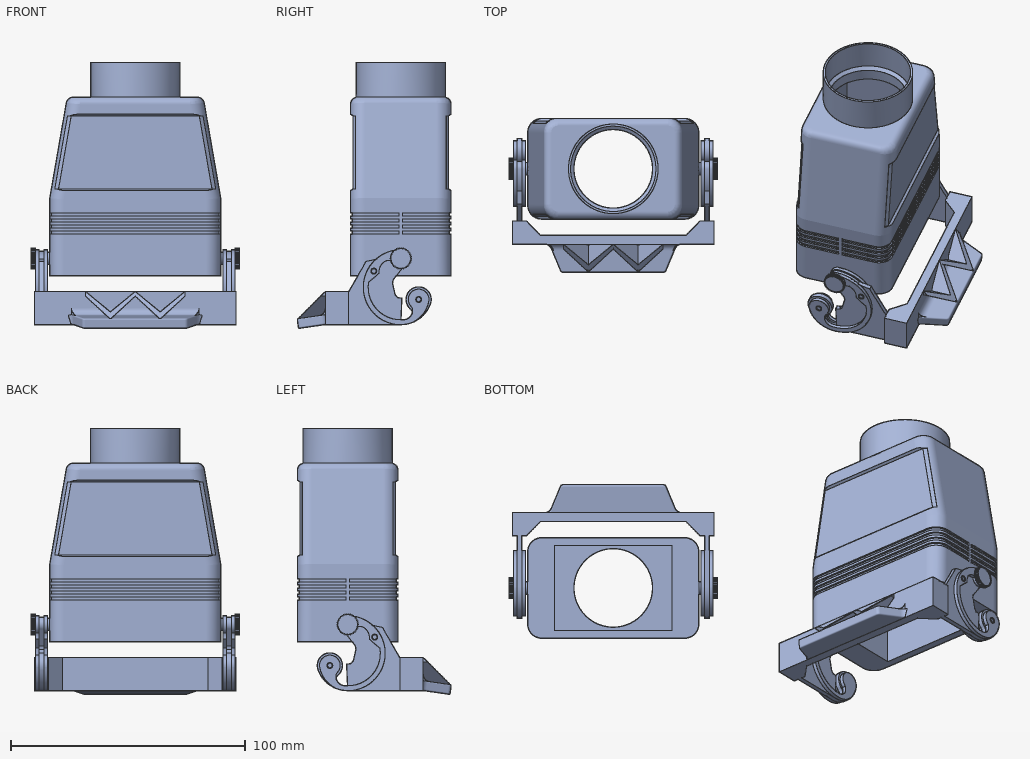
import cadquery as cq
import math

hood_half_x = 36.5
hood_half_y = 21.5
hood_height = 76.2
straight_height = 33.0
top_half_x = 29.0
corner_radius = 6.1
top_edge_radius = 3.2

collar_radius = 19.1
collar_top = 90.95
overall_height = 113.37
collar_bore_radius = 18.2
throat_radius = 16.7
collar_bore_depth = 12.5
throat_chamfer = 1.2

cavity_half_x = 25.0
cavity_half_y = 18.1
cavity_top = 72.3

panel_depth = 1.1
panel_bottom = 36.3
panel_top = 68.9
panel_end_slope = 0.7
panel_rim_inset = 3.1
panel_rim_width = 1.6
panel_rim_depth = 1.1

groove_count = 4
groove_width = 1.4
groove_depth = 0.75
groove_pitch = 2.55
first_groove_z = 17.75
groove_gap = 1.6

lever_mid_x = 39.95
web_thickness = 2.0
arm_thickness = 5.2
flange_thickness = (arm_thickness - web_thickness) / 2
pivot_z = 7.4
ring_radius = 16.0
ring_z = -4.9
ring_inner_radius = 13.9
pivot_boss_radius = ring_radius - (pivot_z - ring_z)
hook_y = 7.6
hook_z = -10.1
web_hook_radius = 5.4
flange_hook_radius = 4.4
mouth_angle = math.radians(-130)
flange_nook_side = (4.3, -17.0)
flange_nook_end = (1.0, -18.7)
web_nook_side = (4.9, -17.4)
web_nook_end = (1.0, -19.5)
web_inset = 0.6
rivet_y = -11.5
rivet_z = 2.0
rivet_radius = 1.25
rivet_core_radius = 1.0
rivet_depth = 0.3

pin_radius = 2.7
button_radius = 4.55
button_face_x = 44.5
button_thickness = button_face_x - lever_mid_x - arm_thickness / 2
tooth_count = 38
tooth_depth = 0.4

bar_half_x = 43.0
bar_back_y = -22.2
bar_relief_y = -28.3
bar_front_y = -32.2
bar_top = -6.7
bar_bottom = ring_z - ring_radius
bar_relief_half_x = 31.0
bar_block_half_x = 37.0

tab_root_half_x = 27.2
tab_tip_half_x = 22.2
tab_reach_y = -44.14
tab_root_top = -16.6
tab_tilt = math.atan(0.145)
tab_lowest_z = collar_top - overall_height
tab_corner_radius = 1.5
tab_edge_radius = 0.6
tab_root_radius = 3.1
tab_rim_reach = bar_front_y - tab_reach_y - tab_edge_radius * (1 - math.sin(tab_tilt))
tab_length = tab_rim_reach / math.cos(tab_tilt) + tab_edge_radius
tab_rim_drop = tab_root_top - tab_lowest_z - tab_edge_radius - (tab_length - tab_edge_radius) * math.sin(tab_tilt)
tab_thickness = tab_rim_drop / math.cos(tab_tilt) + tab_edge_radius
tab_tip_y = bar_front_y - tab_length
tab_anchor = 1.0

rib_half_x = 21.2
rib_valley_z = -15.4
rib_wall_drop = 3.1
rib_end_drop = 2.0


def box(x0, x1, y0, y1, z0, z1):
    return cq.Workplane("XY").box(x1 - x0, y1 - y0, z1 - z0, centered=False).translate((x0, y0, z0))


def cylinder(radius, z0, z1):
    return cq.Workplane("XY").workplane(offset=z0).circle(radius).extrude(z1 - z0)


def plate(outline, mid_x, thickness):
    """Extrude a closed (Y, Z) outline symmetrically about the plane X = mid_x."""
    return outline.extrude(thickness / 2, both=True).translate((mid_x, 0, 0))


def disc_x(y, z, radius, x0, x1):
    return cq.Workplane("YZ").workplane(offset=x0).center(y, z).circle(radius).extrude(x1 - x0)


def side_wall_x(z):
    """Half width of the hood at a height on its leaning side walls."""
    lean = (hood_half_x - top_half_x) / (hood_height - straight_height)
    return hood_half_x - lean * (z - straight_height)


def hood_blank():
    side = [
        (-hood_half_x, 0),
        (hood_half_x, 0),
        (hood_half_x, straight_height),
        (top_half_x, hood_height),
        (-top_half_x, hood_height),
        (-hood_half_x, straight_height),
    ]
    body = cq.Workplane("XZ").polyline(side).close().extrude(hood_half_y, both=True)
    body = body.edges("(not #Z) and (not |Y)").fillet(corner_radius)
    return body.faces(">Z").edges().fillet(top_edge_radius)


def panel_cutter():
    """Band cut across the front face, with sloped ends at top and bottom."""
    floor_y = -hood_half_y + panel_depth
    section = [
        (floor_y, panel_bottom + panel_end_slope),
        (-hood_half_y, panel_bottom),
        (-hood_half_y - panel_depth, panel_bottom),
        (-hood_half_y - panel_depth, panel_top),
        (-hood_half_y, panel_top),
        (floor_y, panel_top - panel_end_slope),
    ]
    return cq.Workplane("YZ").polyline(section).close().extrude(hood_half_x, both=True)


def panel_rim_cutter():
    """Bevel along the +X slanted edge of the front panel."""
    floor_y = -hood_half_y + panel_depth

    def section(z):
        edge_x = side_wall_x(z) - panel_rim_inset
        return [
            (edge_x, floor_y, z),
            (edge_x + panel_rim_width, floor_y + panel_rim_depth, z),
            (edge_x + panel_rim_width, floor_y, z),
        ]

    wires = [
        cq.Wire.makePolygon([cq.Vector(*p) for p in section(z)], close=True)
        for z in (panel_bottom + panel_end_slope, panel_top - panel_end_slope)
    ]
    return cq.Workplane(obj=cq.Solid.makeLoft(wires, True))


def groove_cutter():
    outer = box(-hood_half_x - 1, hood_half_x + 1, -hood_half_y - 1, hood_half_y + 1, 0, groove_width)
    core = (
        cq.Workplane("XY")
        .rect(2 * (hood_half_x - groove_depth), 2 * (hood_half_y - groove_depth))
        .extrude(groove_width)
        .edges("|Z")
        .fillet(corner_radius - groove_depth)
    )
    bridge = box(-hood_half_x - 1, hood_half_x + 1, -groove_gap / 2, groove_gap / 2, 0, groove_width)
    return outer.cut(core).cut(bridge)


def make_hood():
    hood = hood_blank()
    panel = panel_cutter()
    rim = panel_rim_cutter()
    front = panel.union(rim).union(rim.mirror("YZ"))
    hood = hood.cut(front).cut(front.mirror("XZ"))
    groove = groove_cutter()
    for i in range(groove_count):
        hood = hood.cut(groove.translate((0, 0, first_groove_z + i * groove_pitch)))
    hood = hood.union(cylinder(collar_radius, hood_height - 1, collar_top))
    hood = hood.cut(box(-cavity_half_x, cavity_half_x, -cavity_half_y, cavity_half_y, 0, cavity_top))
    bore_floor = collar_top - collar_bore_depth
    bore = cylinder(collar_bore_radius, bore_floor, collar_top)
    cone = (
        cq.Workplane("XY").workplane(offset=bore_floor).circle(collar_bore_radius)
        .workplane(offset=-throat_chamfer).circle(throat_radius).loft()
    )
    return hood.cut(bore).cut(cone).cut(cylinder(throat_radius, cavity_top, bore_floor))


def hook_points(hook_radius):
    """Points on the arc blending the ring bottom into the hook end, then round to the mouth."""
    drop = hook_z - bar_bottom
    blend_radius = (hook_y**2 + drop**2 - hook_radius**2) / (2 * (drop - hook_radius))
    blend_z = bar_bottom + blend_radius
    touch = math.atan2(hook_z - blend_z, hook_y)
    middle = (touch - math.pi / 2) / 2

    def on_hook(angle):
        return (hook_y + hook_radius * math.cos(angle), hook_z + hook_radius * math.sin(angle))

    return {
        "blend": (blend_radius * math.cos(middle), blend_z + blend_radius * math.sin(middle)),
        "touch": on_hook(touch),
        "crown": on_hook(math.pi / 2),
        "mouth": on_hook(mouth_angle),
    }


def add_hook(outline, hook_radius, nook_side, nook_end):
    hook = hook_points(hook_radius)
    return (
        outline.threePointArc(hook["blend"], hook["touch"])
        .threePointArc(hook["crown"], hook["mouth"])
        .threePointArc(nook_side, nook_end)
    )


def pivot_point(angle, radius=pivot_boss_radius):
    a = math.radians(angle)
    return (radius * math.cos(a), pivot_z + radius * math.sin(a))


def ring_point(angle, radius=ring_radius):
    a = math.radians(angle)
    return (radius * math.cos(a), ring_z + radius * math.sin(a))


def arm_web(mid_x):
    boss_radius = pivot_boss_radius - web_inset
    arc_radius = ring_radius - web_inset
    outline = (
        cq.Workplane("YZ").moveTo(*pivot_point(90, boss_radius))
        .threePointArc(ring_point(110, arc_radius), ring_point(128, arc_radius))
        .lineTo(-14.9, 6.1)
        .lineTo(-15.6, 4.7)
        .lineTo(bar_back_y, bar_top)
        .lineTo(bar_back_y, bar_bottom)
        .lineTo(0, bar_bottom)
    )
    outline = (
        add_hook(outline, web_hook_radius, web_nook_side, web_nook_end)
        .lineTo(0.1, web_nook_end[1])
        .lineTo(0.5, -9.5)
        .lineTo(-1.2, -9.3)
        .threePointArc((-2.3, -8.2), (-2.6, -7.0))
        .lineTo(-3.5, -3.2)
        .lineTo(-3.2, -1.7)
        .lineTo(*pivot_point(-45, boss_radius))
        .threePointArc(pivot_point(20, boss_radius), pivot_point(90, boss_radius))
        .close()
    )
    return plate(outline, mid_x, web_thickness)


def arm_flanges(mid_x):
    """Matching rims on both sides of the web."""
    offset = (web_thickness + flange_thickness) / 2
    outline = (
        cq.Workplane("YZ").moveTo(*pivot_point(90))
        .threePointArc(ring_point(180), ring_point(270))
    )
    outline = (
        add_hook(outline, flange_hook_radius, flange_nook_side, flange_nook_end)
        .threePointArc(ring_point(220, ring_inner_radius), ring_point(171, ring_inner_radius))
        .threePointArc((-11.3, -0.7), (-9.2, 1.2))
        .threePointArc((-8.6, 4.3), (-6.2, 6.4))
        .lineTo(*pivot_point(195))
        .threePointArc(pivot_point(-45), pivot_point(90))
        .close()
    )
    flange = plate(outline, mid_x, flange_thickness)
    return flange.translate((-offset, 0, 0)), flange.translate((offset, 0, 0))


def knurled_button():
    points = []
    for i in range(2 * tooth_count):
        angle = math.pi * i / tooth_count
        radius = button_radius - tooth_depth * (i % 2)
        points.append((radius * math.cos(angle), pivot_z + radius * math.sin(angle)))
    start = button_face_x - button_thickness
    return cq.Workplane("YZ").workplane(offset=start).polyline(points).close().extrude(button_thickness)


def make_arm():
    """Arm on the +X side with its pivot pin and button."""
    face_x = lever_mid_x + arm_thickness / 2
    arm = arm_web(lever_mid_x)
    for flange in arm_flanges(lever_mid_x):
        arm = arm.union(flange)
    arm = arm.union(disc_x(0, pivot_z, pin_radius, hood_half_x - 1, face_x))
    arm = arm.union(knurled_button())
    for y, z in [(rivet_y, rivet_z), (hook_y, hook_z)]:
        gap = disc_x(y, z, rivet_radius, face_x - rivet_depth, face_x)
        core = disc_x(y, z, rivet_core_radius, face_x - rivet_depth, face_x)
        arm = arm.cut(gap.cut(core))
    return arm


def make_bar():
    outline = [
        (-bar_half_x, bar_front_y),
        (-bar_half_x, bar_back_y),
        (-bar_block_half_x, bar_back_y),
        (-bar_relief_half_x, bar_relief_y),
        (bar_relief_half_x, bar_relief_y),
        (bar_block_half_x, bar_back_y),
        (bar_half_x, bar_back_y),
        (bar_half_x, bar_front_y),
    ]
    return cq.Workplane("XY").workplane(offset=bar_bottom).polyline(outline).close().extrude(bar_top - bar_bottom)


def blend(corner, toward_start, toward_end, radius):
    """Start, middle and end of the arc that rounds a corner between two directions."""
    def unit(x, y):
        length = math.hypot(x, y)
        return (x / length, y / length)

    a = unit(*toward_start)
    b = unit(*toward_end)
    half = math.acos(a[0] * b[0] + a[1] * b[1]) / 2
    bisector = unit(a[0] + b[0], a[1] + b[1])
    run = radius / math.tan(half)
    to_middle = radius / math.sin(half) - radius
    start = (corner[0] + run * a[0], corner[1] + run * a[1])
    middle = (corner[0] + to_middle * bisector[0], corner[1] + to_middle * bisector[1])
    end = (corner[0] + run * b[0], corner[1] + run * b[1])
    return start, middle, end


def tab_outline():
    """Plan of the tab: sides flared into the bar face, tip corners rounded."""
    root = (tab_root_half_x, bar_front_y)
    tip = (tab_tip_half_x, tab_tip_y)
    outward = (root[0] - tip[0], root[1] - tip[1])
    inward = (-outward[0], -outward[1])
    right = [*blend(root, (1, 0), inward, tab_root_radius), *blend(tip, outward, (-1, 0), tab_corner_radius)]
    left = [(-x, y) for x, y in reversed(right)]
    anchor_y = bar_front_y + tab_anchor
    return (
        cq.Workplane("XY").moveTo(left[-1][0], anchor_y).lineTo(right[0][0], anchor_y).lineTo(*right[0])
        .threePointArc(right[1], right[2])
        .lineTo(*right[3])
        .threePointArc(right[4], right[5])
        .lineTo(*left[0])
        .threePointArc(left[1], left[2])
        .lineTo(*left[3])
        .threePointArc(left[4], left[5])
        .close()
    )


def tab_root_fillet():
    """Concave blend from the top of the tab up into the bar face."""
    corner = (bar_front_y, tab_root_top)
    start, middle, end = blend(corner, (0, 1), (-1, -math.tan(tab_tilt)), tab_root_radius)
    anchor_y = bar_front_y + tab_anchor
    section = (
        cq.Workplane("YZ").moveTo(anchor_y, start[1]).lineTo(*start)
        .threePointArc(middle, end)
        .lineTo(end[0], end[1] - tab_thickness / 2)
        .lineTo(anchor_y, end[1] - tab_thickness / 2)
        .close().extrude(bar_half_x, both=True)
    )
    flat_top = tab_outline().offset2D(-tab_edge_radius).extrude(start[1] - bar_bottom)
    return section.intersect(flat_top.translate((0, 0, bar_bottom)))


def make_tab():
    """Thumb plate with rounded rims, tilted down about the root of its top face."""
    flat = tab_outline().extrude(-tab_thickness)
    width = flat.val().BoundingBox().xlen
    flat = flat.faces("<Z or >Z").edges("not >Y").fillet(tab_edge_radius)
    flat = flat.intersect(cq.Workplane("XY").box(width, -4 * tab_tip_y, 4 * tab_thickness))
    pivot = (0, bar_front_y, 0)
    axis_end = (1, bar_front_y, 0)
    tilted = flat.rotate(pivot, axis_end, math.degrees(tab_tilt)).translate((0, 0, tab_root_top))
    return tilted.union(tab_root_fillet())


def make_ribs():
    """W-shaped wall running out from the bar, cut off by a 45 degree plane."""
    quarter = rib_half_x / 2
    upper = [(-rib_half_x, bar_top), (-quarter, rib_valley_z), (0, bar_top)]
    upper += [(quarter, rib_valley_z), (rib_half_x, bar_top)]
    lower_valley = rib_valley_z - rib_wall_drop
    lower_end = bar_top - rib_end_drop
    lower = [(rib_half_x, lower_end), (quarter, lower_valley), (0, lower_end)]
    lower += [(-quarter, lower_valley), (-rib_half_x, lower_end)]
    reach = bar_front_y - tab_reach_y
    wall = cq.Workplane("XZ", origin=(0, bar_front_y, 0)).polyline(upper + lower).close().extrude(reach)
    wedge = (
        cq.Workplane("YZ")
        .polyline([(bar_front_y, bar_top), (tab_reach_y, bar_top - reach), (bar_front_y, bar_top - reach)])
        .close().extrude(rib_half_x, both=True)
    )
    return wall.intersect(wedge)


arm = make_arm()
result = make_hood()
result = result.union(arm).union(arm.mirror("YZ"))
result = result.union(make_bar()).union(make_tab()).union(make_ribs())